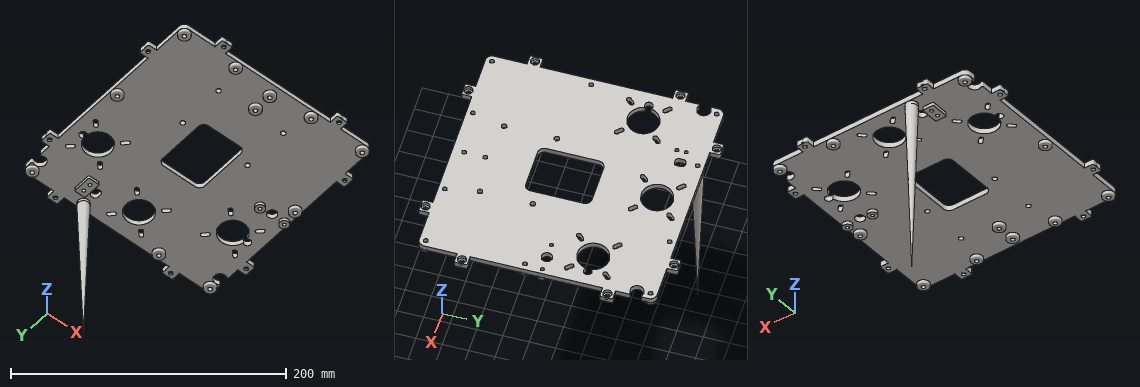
import cadquery as cq
import math

PLATE_SIDE = 180.3
PLATE_THICKNESS = 4.9
CORNER_RADIUS = 5.0

OVERALL_SIDE = 196.0
TAB_WIDTH = 10.0
TAB_SPACING = 110.2
TAB_CORNER_RADIUS = 1.0
TAB_HOLE_REACH = 94.0
TAB_HOLE_DIAMETER = 3.3
TAB_RECESS_DIAMETER = 6.5
TAB_RECESS_DEPTH = 3.0

FOOT_DIAMETER = 10.0
FOOT_HEIGHT = 3.0
FOOT_FILLET = 0.8
FRONT_INNER_FOOT_FILLET = 1.5
SCREW_HOLE_DIAMETER = 3.3
SCREW_EDGE_REACH = 85.0
SCREW_INNER_X = 36.0
SCREW_SIDE_Y = -10.0
CENTRE_SCREW_YS = (-65.0, -81.1)

SPIKE_LENGTH = 150.1

SIDE_MOTOR_X = 64.5
SIDE_MOTOR_Y = 35.7
BACK_MOTOR_Y = 65.0
MOTOR_BORE_DIAMETER = 24.0
MOTOR_SLOT_REACH = 20.0
MOTOR_SLOT_LENGTH = 7.3
MOTOR_SLOT_WIDTH = 3.3
WIRE_HOLE_OFFSET = 14.1
WIRE_HOLE_DIAMETER = 6.0

WINDOW_WIDTH = 40.0
WINDOW_LENGTH = 50.0
WINDOW_CENTRE_Y = -4.9
WINDOW_RADIUS = 5.0
BOARD_HOLE_DIAMETER = 4.0
BOARD_HOLE_X = 31.0
BOARD_HOLE_YS = (-20.0, -60.0)

NOTCH_DIAMETER = 10.2
NOTCH_LIP_RADIUS = 1.0
NOTCH_CENTRE_X = 86.0
NOTCH_Y = 75.0

SENSOR_SCREW_DIAMETER = 2.7
ROUND_SENSOR_X = 74.7
ROUND_SENSOR_Y = 3.5
ROUND_SENSOR_DIAMETER = 8.0
ROUND_SENSOR_SPACING = 23.1
SENSOR_BOSS_DIAMETER = 8.0
OBLONG_SENSOR_X = -35.3
OBLONG_SENSOR_Y = 72.1
OBLONG_SENSOR_LENGTH = 8.0
OBLONG_SENSOR_WIDTH = 6.5
OBLONG_SENSOR_RADIUS = 2.5
PAD_X = -45.5
PAD_Y = 70.2
PAD_WIDTH = 10.0
PAD_LENGTH = 16.0
PAD_RADIUS = 1.0
PAD_SCREW_SPACING = 7.0

SIDES = (-1, 1)

half_tab = TAB_SPACING / 2
tab_holes = [(s * TAB_HOLE_REACH, t * half_tab) for s in SIDES for t in SIDES]
tab_holes += [(t * half_tab, s * TAB_HOLE_REACH) for s in SIDES for t in SIDES]

spike_point = (-SCREW_INNER_X, SCREW_EDGE_REACH)
screw_points = [(s * x, t * SCREW_EDGE_REACH)
                for x in (SCREW_EDGE_REACH, SCREW_INNER_X) for s in SIDES for t in SIDES]
screw_points += [(s * SCREW_EDGE_REACH, SCREW_SIDE_Y) for s in SIDES]
screw_points += [(0, y) for y in CENTRE_SCREW_YS]
front_inner_points = [(s * SCREW_INNER_X, -SCREW_EDGE_REACH) for s in SIDES]
regular_foot_points = [p for p in screw_points if p not in front_inner_points]
open_screw_points = [p for p in screw_points if p != spike_point]

round_sensor_screws = [(ROUND_SENSOR_X + s * ROUND_SENSOR_SPACING / 2, ROUND_SENSOR_Y) for s in SIDES]
pad_screws = [(PAD_X, PAD_Y + s * PAD_SCREW_SPACING / 2) for s in SIDES]
board_holes = [(s * BOARD_HOLE_X, y) for s in SIDES for y in BOARD_HOLE_YS]


def rounded_block(x, y, width, length, height, radius):
    """Block up (or down, if height is negative) from Z = 0, with rounded vertical edges."""
    block = cq.Workplane("XY").center(x, y).rect(width, length).extrude(height)
    return block.edges("|Z").fillet(radius)


def through_holes(points, diameter):
    """Cylinders that cut through the plate and everything fixed under it."""
    height = FOOT_HEIGHT + PLATE_THICKNESS
    base = cq.Workplane("XY", origin=(0, 0, -FOOT_HEIGHT))
    return base.pushPoints(points).circle(diameter / 2).extrude(height)


def plate_with_tabs():
    plate = rounded_block(0, 0, PLATE_SIDE, PLATE_SIDE, PLATE_THICKNESS, CORNER_RADIUS)
    for offset in (-half_tab, half_tab):
        along_y = rounded_block(offset, 0, TAB_WIDTH, OVERALL_SIDE, PLATE_THICKNESS, TAB_CORNER_RADIUS)
        along_x = rounded_block(0, offset, OVERALL_SIDE, TAB_WIDTH, PLATE_THICKNESS, TAB_CORNER_RADIUS)
        plate = plate.union(along_y).union(along_x)
    recess_floor = cq.Workplane("XY", origin=(0, 0, PLATE_THICKNESS - TAB_RECESS_DEPTH))
    recesses = recess_floor.pushPoints(tab_holes).circle(TAB_RECESS_DIAMETER / 2).extrude(TAB_RECESS_DEPTH)
    return plate.cut(recesses).cut(through_holes(tab_holes, TAB_HOLE_DIAMETER))


def motor_opening(x, y):
    """Round bore with four slots pointing at its axis."""
    offset = MOTOR_SLOT_REACH / math.sqrt(2)
    cutter = cq.Workplane("XY").circle(MOTOR_BORE_DIAMETER / 2).extrude(PLATE_THICKNESS)
    for sx in SIDES:
        for sy in SIDES:
            slot = (cq.Workplane("XY").center(sx * offset, sy * offset)
                    .slot2D(MOTOR_SLOT_LENGTH, MOTOR_SLOT_WIDTH, 45 * sx * sy).extrude(PLATE_THICKNESS))
            cutter = cutter.union(slot)
    return cutter.translate((x, y, 0))


def edge_notch(side):
    """Round notch in a plate edge; the two lips of its mouth are rounded."""
    radius = NOTCH_DIAMETER / 2
    reach = radius + NOTCH_LIP_RADIUS
    edge_x = PLATE_SIDE / 2 - NOTCH_CENTRE_X
    lip_x = edge_x - NOTCH_LIP_RADIUS
    lip_angle = math.acos(lip_x / reach)
    lip_y = reach * math.sin(lip_angle)
    touch_x = radius * math.cos(lip_angle)
    touch_y = radius * math.sin(lip_angle)
    outline = (cq.Workplane("XY").moveTo(edge_x, lip_y)
               .radiusArc((touch_x, touch_y), NOTCH_LIP_RADIUS)
               .threePointArc((-radius, 0), (touch_x, -touch_y))
               .radiusArc((edge_x, -lip_y), NOTCH_LIP_RADIUS)
               .close())
    notch = outline.extrude(PLATE_THICKNESS).translate((NOTCH_CENTRE_X, NOTCH_Y, 0))
    return notch if side > 0 else notch.mirror("YZ")


def feet(points, fillet):
    below = cq.Workplane("XY").pushPoints(points).circle(FOOT_DIAMETER / 2).extrude(-FOOT_HEIGHT)
    return below.faces("<Z").edges().fillet(fillet)


def spike():
    top = cq.Vector(*spike_point, 0)
    cone = cq.Solid.makeCone(FOOT_DIAMETER / 2, 0, SPIKE_LENGTH, top, cq.Vector(0, 0, -1))
    return cq.Workplane(cone)


def sensor_mounts():
    """Two round bosses and one rectangular pad for the sensor screws."""
    bosses = (cq.Workplane("XY").pushPoints(round_sensor_screws)
              .circle(SENSOR_BOSS_DIAMETER / 2).extrude(-FOOT_HEIGHT))
    pad = rounded_block(PAD_X, PAD_Y, PAD_WIDTH, PAD_LENGTH, -FOOT_HEIGHT, PAD_RADIUS)
    return bosses.union(pad)


window = rounded_block(0, WINDOW_CENTRE_Y, WINDOW_WIDTH, WINDOW_LENGTH, PLATE_THICKNESS, WINDOW_RADIUS)
oblong_sensor_opening = rounded_block(
    OBLONG_SENSOR_X, OBLONG_SENSOR_Y, OBLONG_SENSOR_WIDTH, OBLONG_SENSOR_LENGTH,
    PLATE_THICKNESS, OBLONG_SENSOR_RADIUS)

body = plate_with_tabs().cut(window).cut(oblong_sensor_opening)
body = body.cut(motor_opening(0, BACK_MOTOR_Y))
for side in SIDES:
    body = body.cut(motor_opening(side * SIDE_MOTOR_X, SIDE_MOTOR_Y))
    wire_hole = (side * (SIDE_MOTOR_X + WIRE_HOLE_OFFSET), SIDE_MOTOR_Y)
    body = body.cut(through_holes([wire_hole], WIRE_HOLE_DIAMETER))
    body = body.cut(edge_notch(side))

body = body.union(feet(regular_foot_points, FOOT_FILLET))
body = body.union(feet(front_inner_points, FRONT_INNER_FOOT_FILLET))
body = body.union(sensor_mounts())
body = body.cut(through_holes(open_screw_points, SCREW_HOLE_DIAMETER))
body = body.cut(through_holes(round_sensor_screws + pad_screws, SENSOR_SCREW_DIAMETER))
body = body.cut(through_holes(board_holes, BOARD_HOLE_DIAMETER))
body = body.cut(through_holes([(ROUND_SENSOR_X, ROUND_SENSOR_Y)], ROUND_SENSOR_DIAMETER))

spike_hole = cq.Workplane("XY").center(*spike_point).circle(SCREW_HOLE_DIAMETER / 2).extrude(PLATE_THICKNESS)
result = body.union(spike()).cut(spike_hole)